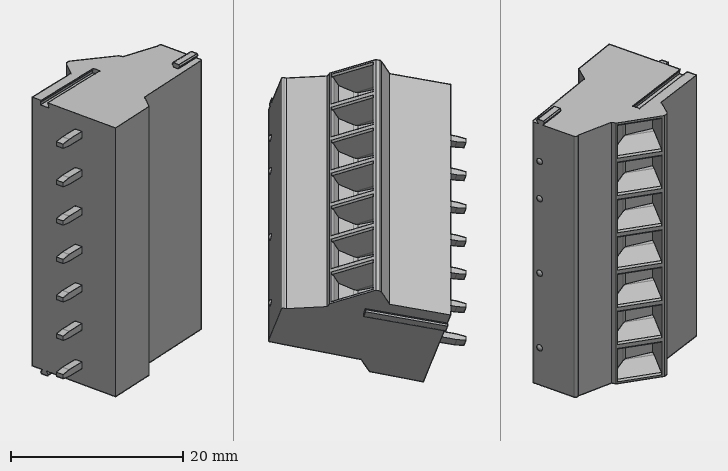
import cadquery as cq
import math


positions = 7
rail_height = 0.6
housing_height = 36.72 - 2 * rail_height
pitch = housing_height / positions
housing_depth = 19.28
housing_right = 14.25
housing_left = 2.0
corner_radius = 0.25
nose_underside_y = 7.35
rear_land_y = 18.73
rear_left = 5.85
rear_right = 12.0
step_bottom = (14.1, 6.55)
step_top = (12.3, 8.0)
shelf_back = (4.25, 14.25)

nose_top = (0, 9.55)
slope_top = (3.7, 14.1)
nose_bottom = (0, 9.07)
nose_bevel = (0.15, 8.8)

mouth_half = 2.28
throat_half = 2.05
end_half = 1.35
bevel_depth = 0.22
taper_depth = 3.12
wedge_depth = 5.15
lip_y = 9.8
mouth_upper_y = 14.0
lip_wall_depth = 3.75
scoop_bevel = (3.9, 13.5)
scoop_floor_top = (4.65, 12.78)
scoop_back_x = 4.92
scoop_back_top = 10.9
scoop_back_bottom = 10.4

pin_x = 8.8
pin_width = 1.0
pin_thickness = 0.88
pin_length = 3.55
pin_tip_thickness = 0.55
pin_taper_length = 1.15
pin_root = 0.35

lower_rail_x = 3.8
lower_rail_length = 9.88
upper_rail_x = 10.85
upper_rail_length = 3.45
rail_neck_half = 0.33
rail_head_half = 0.55
rail_tip_half = 0.45
rail_widest_height = 0.35
groove_depth = 0.62
groove_mouth_half = 0.48
groove_floor_half = 0.6

pip_boundaries = (1, 3, 5, 6)
pip_x = 10.95
pip_radius = 0.4
pip_height = 0.25

slope_dx = slope_top[0] - nose_top[0]
slope_dy = slope_top[1] - nose_top[1]
slope_length = math.hypot(slope_dx, slope_dy)
along = (slope_dx / slope_length, slope_dy / slope_length)
inward = (along[1], -along[0])


def slope_point(y):
    """Point of the sloped face at height y."""
    return (nose_top[0] + (y - nose_top[1]) * slope_dx / slope_dy, y)


def make_housing():
    outline = [
        (housing_left, 0),
        (housing_right, 0),
        step_bottom,
        step_top,
        (rear_right, housing_depth),
        (rear_left, housing_depth),
        (rear_left, rear_land_y),
        shelf_back,
        slope_top,
        nose_top,
        nose_bottom,
        nose_bevel,
        (housing_left, nose_underside_y),
    ]
    housing = cq.Workplane("XY").polyline(outline).close().extrude(housing_height)
    rear_corners = housing.faces(">Y").edges("|Z")
    return rear_corners.fillet(corner_radius)


def make_pocket():
    """Scooped wire entry, centred on Z = 0 and narrowing with depth below the sloped face."""
    lip = slope_point(lip_y)
    section = [
        slope_point(mouth_upper_y),
        scoop_bevel,
        scoop_floor_top,
        (scoop_back_x, scoop_back_top),
        (scoop_back_x, scoop_back_bottom),
        (lip[0] + lip_wall_depth * inward[0], lip[1] + lip_wall_depth * inward[1]),
        lip,
    ]
    scoop = cq.Workplane("XY").polyline(section).close().extrude(mouth_half, both=True)

    wedge_plane = cq.Plane(
        origin=(slope_top[0], slope_top[1], 0),
        xDir=(inward[0], inward[1], 0),
        normal=(-along[0], -along[1], 0),
    )
    upper_half = [
        (0, mouth_half),
        (bevel_depth, throat_half),
        (taper_depth, end_half),
        (wedge_depth, end_half),
    ]
    lower_half = [(depth, -half) for depth, half in reversed(upper_half)]
    wedge = (
        cq.Workplane(wedge_plane)
        .polyline(upper_half + lower_half)
        .close()
        .extrude(slope_length)
    )
    return scoop.intersect(wedge)


def make_pin():
    """Tapered pin, centred on Z = 0, pointing along -Y and rooted slightly inside the housing."""
    taper_start = pin_taper_length - pin_length
    half = pin_thickness / 2
    tip_half = pin_tip_thickness / 2
    profile = [
        (pin_root, half),
        (taper_start, half),
        (-pin_length, tip_half),
        (-pin_length, -tip_half),
        (taper_start, -half),
        (pin_root, -half),
    ]
    pin = cq.Workplane("YZ").polyline(profile).close().extrude(pin_width / 2, both=True)
    return pin.translate((pin_x, 0, 0))


def make_bar(half_profile, length):
    """Bar along +Y with a profile symmetric about Z, given as (half width, z) points."""
    mirrored = [(-half, z) for half, z in reversed(half_profile)]
    return cq.Workplane("XZ").polyline(half_profile + mirrored).close().extrude(-length)


def make_rail(length):
    """Dovetail rail standing on Z = 0."""
    profile = [
        (rail_neck_half, 0),
        (rail_head_half, rail_widest_height),
        (rail_tip_half, rail_height),
    ]
    return make_bar(profile, length)


def make_pip():
    """Shallow dome on the rear face, centred on Z = 0."""
    sphere_radius = (pip_radius**2 + pip_height**2) / (2 * pip_height)
    center_y = housing_depth + pip_height - sphere_radius
    return cq.Workplane("XY").sphere(sphere_radius).translate((pip_x, center_y, 0))


result = make_housing()

pocket = make_pocket()
pin = make_pin()
for index in range(positions):
    center = (0, 0, (index + 0.5) * pitch)
    result = result.cut(pocket.translate(center))
    result = result.union(pin.translate(center))

pip = make_pip()
for boundary in pip_boundaries:
    result = result.union(pip.translate((0, 0, boundary * pitch)))

groove_profile = [
    (groove_mouth_half, 0),
    (groove_floor_half, -groove_depth / 2),
    (groove_floor_half, -groove_depth),
]
groove = make_bar(groove_profile, lower_rail_length)
result = result.cut(groove.translate((lower_rail_x, 0, housing_height)))

lower_rail = make_rail(lower_rail_length).mirror("XY")
result = result.union(lower_rail.translate((lower_rail_x, 0, 0)))

upper_rail = make_rail(upper_rail_length)
upper_rail_start = housing_depth - upper_rail_length
result = result.union(upper_rail.translate((upper_rail_x, upper_rail_start, housing_height)))